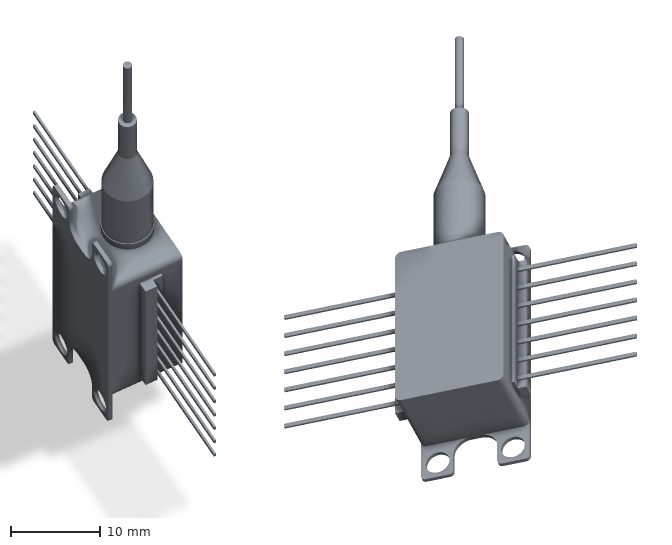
import cadquery as cq

plate_width = 12.8
plate_height = 30.0
plate_thickness = 0.5
plate_corner_radius = 0.5
hole_diameter = 2.8
hole_spacing_x = 8.9
hole_edge_distance = 2.0
notch_width = 5.2
notch_corner_radius = 2.0

body_height = 20.8
body_back = 9.5
body_corner_radius = 0.7
body_center_z = plate_height / 2
body_bottom = body_center_z - body_height / 2
body_top = body_center_z + body_height / 2

ledge_height = 17.8
shelf_width = 15.5
shelf_front = 4.0
shelf_back = 5.5
strip_width = 13.5
strip_back = 6.75

lead_count = 7
lead_pitch = 2.54
lead_span = 41.56
lead_width = 0.5
lead_thickness = 0.25

outlet_axis_y = 6.0
collar_radius = 3.0
collar_top = 26.4
boot_radius = 2.9
boot_top = 34.4
sleeve_radius = 1.05
cone_top = 39.9
sleeve_top = 46.0
fibre_radius = 0.5
fibre_top = 56.4


def block(width, front, back, bottom, height):
    """Box centred on X, spanning front..back in Y and rising from bottom in Z."""
    corner = cq.Vector(-width / 2, front, bottom)
    return cq.Workplane(obj=cq.Solid.makeBox(width, back - front, height, corner))


def make_plate():
    plate = block(plate_width, 0, plate_thickness, 0, plate_height)
    notch_depth = body_bottom
    for end_z in (0, plate_height):
        notch = block(notch_width, 0, plate_thickness, end_z - notch_depth, 2 * notch_depth)
        plate = plate.cut(notch.edges("|Y").fillet(notch_corner_radius))
    end_edges = plate.faces("<Z or >Z").edges("|Y")
    plate = end_edges.fillet(plate_corner_radius)
    hole_spacing_z = plate_height - 2 * hole_edge_distance
    holes = (
        cq.Workplane("XZ", origin=(0, 0, plate_height / 2))
        .rect(hole_spacing_x, hole_spacing_z, forConstruction=True)
        .vertices()
        .circle(hole_diameter / 2)
        .extrude(-plate_thickness)
    )
    return plate.cut(holes)


def make_body():
    body = block(plate_width, plate_thickness, body_back, body_bottom, body_height)
    return body.edges("|Y").fillet(body_corner_radius)


def make_ledges():
    bottom = body_center_z - ledge_height / 2
    shelf = block(shelf_width, shelf_front, shelf_back, bottom, ledge_height)
    strip = block(strip_width, shelf_back, strip_back, bottom, ledge_height)
    return shelf.union(strip)


def make_leads():
    leads = cq.Workplane()
    for index in range(lead_count):
        center_z = body_center_z + (index - (lead_count - 1) / 2) * lead_pitch
        bottom = center_z - lead_width / 2
        leads = leads.add(block(lead_span, shelf_back, shelf_back + lead_thickness, bottom, lead_width))
    return leads.combine()


def make_outlet():
    profile = [
        (0, body_top),
        (collar_radius, body_top),
        (collar_radius, collar_top),
        (boot_radius, collar_top),
        (boot_radius, boot_top),
        (sleeve_radius, cone_top),
        (sleeve_radius, sleeve_top),
        (fibre_radius, sleeve_top),
        (fibre_radius, fibre_top),
        (0, fibre_top),
    ]
    outlet = cq.Workplane("XZ").polyline(profile).close().revolve(360, (0, 0), (0, 1))
    return outlet.translate((0, outlet_axis_y, 0))


result = make_body()
for component in (make_plate(), make_ledges(), make_leads(), make_outlet()):
    result = result.union(component)